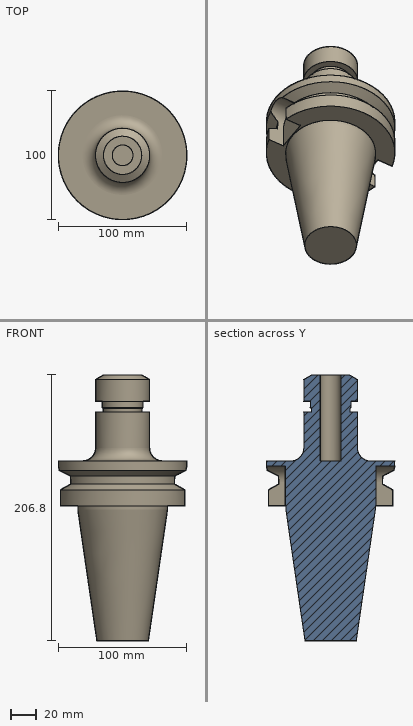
import cadquery as cq
import math

gauge_radius = 35.0
taper_length = 101.7
small_end_radius = gauge_radius - taper_length * 7 / 48

flange_radius = 50.0
groove_radius = 42.4
flange_bottom = 104.8
groove_lower_edge = 117.5
groove_upper_edge = 132.5
flange_top = 140.0
groove_flank_height = (flange_radius - groove_radius) * math.tan(math.radians(30))

overall_height = 206.8
body_radius = 21.0
body_top = 178.0
root_fillet = 10.0
neck_radius = 16.0
neck_bottom = 181.4
relief_radius = 15.0
relief_taper_height = neck_radius - relief_radius
nut_bottom = 186.1
nut_top_radius = 14.9
nut_chamfer_height = (body_radius - nut_top_radius) * math.tan(math.radians(30))
bore_radius = 8.0
bore_depth = overall_height - flange_top

slot_width = 25.5
slot_top = 135.9
slot_floor = 35.4


def make_holder():
    """Revolve the half profile of the shank, flange, body and nut about Z."""
    fillet_middle = root_fillet * (1 - math.sqrt(0.5))
    profile = (
        cq.Workplane("XZ")
        .lineTo(small_end_radius, 0)
        .lineTo(gauge_radius, taper_length)
        .lineTo(gauge_radius, flange_bottom)
        .lineTo(flange_radius, flange_bottom)
        .lineTo(flange_radius, groove_lower_edge)
        .lineTo(groove_radius, groove_lower_edge + groove_flank_height)
        .lineTo(groove_radius, groove_upper_edge - groove_flank_height)
        .lineTo(flange_radius, groove_upper_edge)
        .lineTo(flange_radius, flange_top)
        .lineTo(body_radius + root_fillet, flange_top)
        .threePointArc(
            (body_radius + fillet_middle, flange_top + fillet_middle),
            (body_radius, flange_top + root_fillet),
        )
        .lineTo(body_radius, body_top)
        .lineTo(relief_radius, body_top)
        .lineTo(relief_radius, neck_bottom - relief_taper_height)
        .lineTo(neck_radius, neck_bottom)
        .lineTo(neck_radius, nut_bottom)
        .lineTo(body_radius, nut_bottom)
        .lineTo(body_radius, overall_height - nut_chamfer_height)
        .lineTo(nut_top_radius, overall_height)
        .lineTo(0, overall_height)
        .close()
    )
    return profile.revolve(360, (0, 0, 0), (0, 1, 0))


def make_bore():
    """Blind tool bore from the nut face."""
    bore_bottom = overall_height - bore_depth
    return cq.Workplane("XY", origin=(0, 0, bore_bottom)).circle(bore_radius).extrude(bore_depth)


def make_drive_slot():
    """Round-topped slot cutter on the +X side of the flange."""
    half_width = slot_width / 2
    arc_center = slot_top - half_width
    return (
        cq.Workplane("YZ", origin=(slot_floor, 0, 0))
        .moveTo(-half_width, flange_bottom)
        .lineTo(half_width, flange_bottom)
        .lineTo(half_width, arc_center)
        .threePointArc((0, slot_top), (-half_width, arc_center))
        .close()
        .extrude(flange_radius)
    )


result = make_holder().cut(make_bore())
for angle in (0, 180):
    result = result.cut(make_drive_slot().rotate((0, 0, 0), (0, 0, 1), angle))